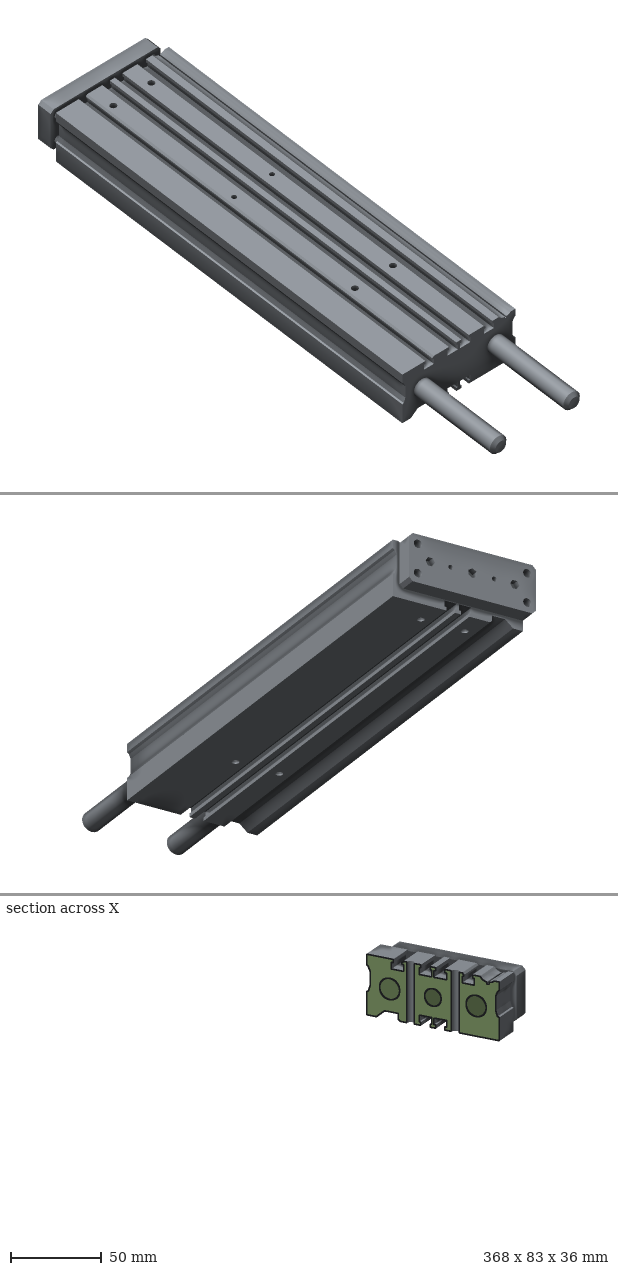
import cadquery as cq
import math

TOTAL_LENGTH = 368.0

PLATE_THICKNESS = 10.3
PLATE_WIDTH = 81.0
PLATE_HEIGHT = 29.8
PLATE_CHAMFER = 2.2

HOUSING_START = 16.0
HOUSING_LENGTH = 287.0
HOUSING_WIDTH = 83.0
HOUSING_HEIGHT = 36.0

GUIDE_ROD_PITCH = 54.0
GUIDE_ROD_DIAMETER = 12.0
GUIDE_ROD_CHAMFER = 2.2
PISTON_ROD_DIAMETER = 10.0
HEAD_DIAMETER = 10.0
SOCKET_FLATS = 5.0
SOCKET_DEPTH = 4.5
SCREW_HEAD_HEIGHT = 6.0
SCREW_SOCKET_TURN = 30.0
SCREW_SHANK_DIAMETER = 6.0
SCREW_LENGTH = 20.5

CORNER_HOLE_PITCH_Y = 70.0
CORNER_HOLE_PITCH_Z = 18.0
CORNER_HOLE_DIAMETER = 5.0
PIN_HOLE_DIAMETER = 3.0
HOLE_PITCH_Y = 28.0
MOUNTING_HOLE_X = 32.5
MOUNTING_HOLE_PITCH_X = 200.2
MOUNTING_HOLE_DIAMETER = 4.5
DOWEL_HOLE_DIAMETER = 3.3
DOWEL_HOLE_DEPTH = 6.0

INNER_SLOT_MOUTH = (2.0, 7.5)
OUTER_SLOT_MOUTH = (19.5, 24.5)
SLOT_LIP = 2.2
SLOT_UNDERCUT = 1.0
SLOT_DEPTH = 6.0
MOUTH_CHAMFER = 1.0

EDGE_DROP = 1.0
ARC_GROOVE_Y = (30.5, 38.3)
ARC_GROOVE_SAG = 1.5
SLIT_WIDTH = 1.0
SLIT_FLOOR_DEPTH = 3.5

BELLY_GROOVE_MOUTH = (21.7, 35.5)
BELLY_GROOVE_SLOPE = 5.0
BELLY_GROOVE_DEPTH = 4.5

SIDE_RECESS_DEPTH = 2.2
SIDE_LIP_DEPTH = 1.0
SIDE_RECESS_MOUTH_Z = (-4.0, 11.8)
SIDE_RECESS_LIP_Z = (-3.5, 10.5)
SIDE_RECESS_FLOOR_Z = (-0.5, 8.0)

HALF_WIDTH = HOUSING_WIDTH / 2
TOP = HOUSING_HEIGHT / 2
BOTTOM = -TOP
GUIDE_ROD_YS = (-GUIDE_ROD_PITCH / 2, GUIDE_ROD_PITCH / 2)
HOLE_YS = (-HOLE_PITCH_Y / 2, HOLE_PITCH_Y / 2)
MOUNTING_HOLE_XS = (MOUNTING_HOLE_X, MOUNTING_HOLE_X + MOUNTING_HOLE_PITCH_X)
DOWEL_HOLE_X = sum(MOUNTING_HOLE_XS) / 2
PISTON_ROD_END = HOUSING_START + HOUSING_LENGTH / 2


def cylinder_along_x(diameter, start, end, y=0.0):
    return cq.Workplane("YZ", origin=(start, y, 0)).circle(diameter / 2).extrude(end - start)


def housing_section():
    """The (y, z) sketch plane at the front of the housing."""
    return cq.Workplane("YZ", origin=(HOUSING_START, 0, 0))


def groove(points):
    """A closed (y, z) outline carried along the whole housing."""
    return housing_section().polyline(points).close().extrude(HOUSING_LENGTH)


def t_slot(mouth, side, face):
    """An undercut slot on one side of the middle plane, in the top (face=1) or bottom (face=-1)."""
    near, far = mouth
    outline = [
        (near, TOP), (far, TOP),
        (far, TOP - SLOT_LIP), (far + SLOT_UNDERCUT, TOP - SLOT_LIP),
        (far + SLOT_UNDERCUT, TOP - SLOT_DEPTH), (near - SLOT_UNDERCUT, TOP - SLOT_DEPTH),
        (near - SLOT_UNDERCUT, TOP - SLOT_LIP), (near, TOP - SLOT_LIP),
    ]
    return groove([(side * y, face * z) for y, z in outline])


def mouth_chamfer(y, side, face):
    """Bevel on the inner edge of a slot mouth."""
    outline = [(y - MOUTH_CHAMFER, TOP), (y, TOP), (y, TOP - MOUTH_CHAMFER)]
    return groove([(side * y, face * z) for y, z in outline])


def edge_groove():
    """Arc groove near the +Y top edge, with a bevel inside it and a lowered strip outside it."""
    inner, outer = ARC_GROOVE_Y
    rim = TOP - EDGE_DROP
    outline = housing_section().moveTo(inner - EDGE_DROP, TOP).lineTo(inner, rim)
    outline = outline.threePointArc(((inner + outer) / 2, rim - ARC_GROOVE_SAG), (outer, rim))
    return outline.lineTo(HALF_WIDTH, rim).lineTo(HALF_WIDTH, TOP).close().extrude(HOUSING_LENGTH)


def edge_slit():
    """Narrow slit cut below the middle of the arc groove."""
    middle = sum(ARC_GROOVE_Y) / 2
    near = middle - SLIT_WIDTH / 2
    far = middle + SLIT_WIDTH / 2
    floor = TOP - SLIT_FLOOR_DEPTH
    return groove([(near, TOP), (far, TOP), (far, floor), (near, floor)])


def belly_groove():
    """Wide groove under the -Y side, sloped on its outer wall."""
    near, far = BELLY_GROOVE_MOUTH
    roof = BOTTOM + BELLY_GROOVE_DEPTH
    return groove([(-near, BOTTOM), (-near, roof), (-far + BELLY_GROOVE_SLOPE, roof), (-far, BOTTOM)])


def side_recess(side):
    levels = [
        (HALF_WIDTH, SIDE_RECESS_MOUTH_Z),
        (HALF_WIDTH - SIDE_LIP_DEPTH, SIDE_RECESS_LIP_Z),
        (HALF_WIDTH - SIDE_RECESS_DEPTH, SIDE_RECESS_FLOOR_Z),
    ]
    lower = [(side * y, low) for y, (low, _) in levels]
    upper = [(side * y, high) for y, (_, high) in reversed(levels)]
    return groove(lower + upper)


def housing_holes(y):
    """Two mounting holes through the housing and a blind dowel hole midway between them."""
    top = cq.Workplane("XY", origin=(0, y, TOP))
    mounting = top.pushPoints([(x, 0) for x in MOUNTING_HOLE_XS])
    mounting = mounting.circle(MOUNTING_HOLE_DIAMETER / 2).extrude(-HOUSING_HEIGHT)
    dowel = top.center(DOWEL_HOLE_X, 0).circle(DOWEL_HOLE_DIAMETER / 2).extrude(-DOWEL_HOLE_DEPTH)
    return mounting.add(dowel).combine()


def make_housing():
    body = housing_section().rect(HOUSING_WIDTH, HOUSING_HEIGHT).extrude(HOUSING_LENGTH)
    for side in (-1, 1):
        body = body.cut(side_recess(side))
        body = body.cut(t_slot(OUTER_SLOT_MOUTH, side, 1))
        body = body.cut(mouth_chamfer(OUTER_SLOT_MOUTH[0], side, 1))
        for face in (-1, 1):
            body = body.cut(t_slot(INNER_SLOT_MOUTH, side, face))
    body = body.cut(edge_groove()).cut(edge_slit()).cut(belly_groove())
    body = body.cut(mouth_chamfer(BELLY_GROOVE_MOUTH[0], -1, -1))
    for y in HOLE_YS:
        body = body.cut(housing_holes(y))
    for y in GUIDE_ROD_YS:
        body = body.cut(cylinder_along_x(GUIDE_ROD_DIAMETER, HOUSING_START, TOTAL_LENGTH, y))
    return body.cut(cylinder_along_x(PISTON_ROD_DIAMETER, HOUSING_START, PISTON_ROD_END))


def make_plate():
    face = cq.Workplane("YZ")
    body = face.rect(PLATE_WIDTH, PLATE_HEIGHT).extrude(PLATE_THICKNESS).edges("|X").chamfer(PLATE_CHAMFER)
    corners = face.rect(CORNER_HOLE_PITCH_Y, CORNER_HOLE_PITCH_Z, forConstruction=True).vertices()
    body = body.cut(corners.circle(CORNER_HOLE_DIAMETER / 2).extrude(PLATE_THICKNESS))
    pins = face.pushPoints([(y, 0) for y in HOLE_YS])
    body = body.cut(pins.circle(PIN_HOLE_DIAMETER / 2).extrude(PLATE_THICKNESS))
    for y in GUIDE_ROD_YS:
        body = body.cut(cylinder_along_x(HEAD_DIAMETER, 0, PLATE_THICKNESS, y))
    return body.cut(screw_blank())


def hex_socket(y, turn):
    """Hexagonal socket from the plate face; at turn 0 two corners point along Y."""
    corner_diameter = SOCKET_FLATS / math.cos(math.pi / 6)
    hexagon = cq.Workplane("YZ").polygon(6, corner_diameter).extrude(SOCKET_DEPTH)
    return hexagon.rotate((0, 0, 0), (1, 0, 0), turn).translate((0, y, 0))


def make_guide_rod(y):
    """Guide rod with a slimmer socketed end that fills its hole in the plate."""
    rod = cylinder_along_x(GUIDE_ROD_DIAMETER, PLATE_THICKNESS, TOTAL_LENGTH, y)
    rod = rod.faces(">X").chamfer(GUIDE_ROD_CHAMFER)
    head = cylinder_along_x(HEAD_DIAMETER, 0, PLATE_THICKNESS, y)
    return rod.union(head).cut(hex_socket(y, 0))


def screw_blank():
    """Head and shank of the middle screw, without its socket."""
    head = cylinder_along_x(HEAD_DIAMETER, 0, SCREW_HEAD_HEIGHT)
    return head.union(cylinder_along_x(SCREW_SHANK_DIAMETER, SCREW_HEAD_HEIGHT, SCREW_LENGTH))


def make_screw():
    return screw_blank().cut(hex_socket(0, SCREW_SOCKET_TURN))


def make_piston_rod():
    rod = cylinder_along_x(PISTON_ROD_DIAMETER, PLATE_THICKNESS, PISTON_ROD_END)
    return rod.cut(screw_blank())


housing = make_housing()
plate = make_plate()
piston_rod = make_piston_rod()
screw = make_screw()
guide_rods = [make_guide_rod(y) for y in GUIDE_ROD_YS]

result = cq.Compound.makeCompound([
    housing.val(),
    plate.val(),
    piston_rod.val(),
    screw.val(),
    *[rod.val() for rod in guide_rods],
])